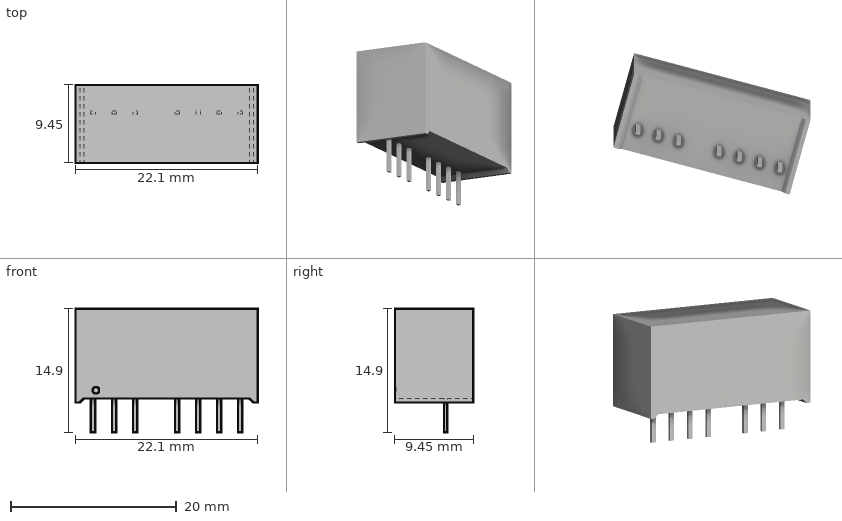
import cadquery as cq

length = 22.05
depth = 9.45
total_height = 14.95
housing_height = 11.33
foot_height = 0.49
foot_width = 0.55
foot_slope = 0.49

row_length = 17.77
pin_slots = [0, 1, 2, 4, 5, 6, 7]
slot_count = 8
pin_pitch = row_length / (slot_count - 1)
pin_width = 0.55
pin_thickness = 0.4
pin_y = 1.4

mark_diameter = 0.8
mark_depth = 0.1
mark_x = -8.53
mark_height = 1.48

front_y = -depth / 2
pin_length = total_height - housing_height + foot_height


def make_mark():
    """Disc that reaches from the front face into the housing."""
    return (
        cq.Workplane("XZ", origin=(mark_x, front_y, mark_height))
        .circle(mark_diameter / 2)
        .extrude(-mark_depth)
    )


def make_housing(mark):
    """Block with an underside relief between the feet and a recess for the mark."""
    half = length / 2
    foot_edge = half - foot_width
    relief_edge = foot_edge - foot_slope
    outline = [
        (-half, 0),
        (-foot_edge, 0),
        (-relief_edge, foot_height),
        (relief_edge, foot_height),
        (foot_edge, 0),
        (half, 0),
        (half, housing_height),
        (-half, housing_height),
    ]
    block = cq.Workplane("XZ", origin=(0, depth / 2, 0)).polyline(outline).close().extrude(depth)
    return block.cut(mark)


def make_pin(slot):
    """Straight rectangular pin hanging from the raised underside."""
    pin_x = slot * pin_pitch - row_length / 2
    return (
        cq.Workplane("XY", origin=(pin_x, pin_y, foot_height))
        .rect(pin_width, pin_thickness)
        .extrude(-pin_length)
    )


mark = make_mark()
housing = make_housing(mark)
pins = [make_pin(slot) for slot in pin_slots]

result = cq.Compound.makeCompound([housing.val(), mark.val(), *[pin.val() for pin in pins]])